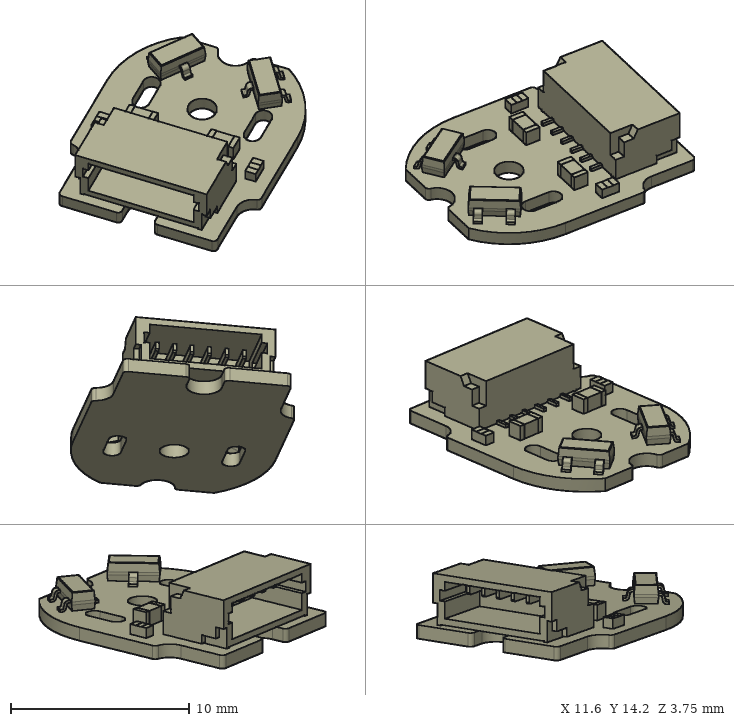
import cadquery as cq
import math

BOARD_RADIUS = 5.8
BOARD_TOP_Y = 4.8
BOARD_BOTTOM_Y = -9.4
BOARD_THICKNESS = 0.8
TAIL_HALF_WIDTH = 4.8
CORNER_RADIUS = 0.25
SHOULDER_CENTER_Y = -6.4
SHOULDER_RADIUS = BOARD_RADIUS - TAIL_HALF_WIDTH
NOTCH_RADIUS = 1.0
TAIL_NOTCH_CENTER_Y = -8.4
CENTER_HOLE_DIAMETER = 1.65
SIDE_SLOT_X = 3.4
SIDE_SLOT_LENGTH = 2.55
SIDE_SLOT_WIDTH = 1.0

HOUSING_HALF_WIDTH = 4.0
HOUSING_FRONT_Y = -8.82
HOUSING_BACK_Y = -4.54
HOUSING_BOTTOM_Z = 0.85
HOUSING_TOP_Z = 3.75
CAVITY_HALF_WIDTH = 3.2
CAVITY_BOTTOM_Z = 1.23
CAVITY_TOP_Z = 3.36
CAVITY_BACK_Y = -5.3
KEYWAY_BACK_Y = -6.2
KEYWAY_HALF_WIDTH = 3.53
KEYWAY_BOTTOM_Z = 2.22
KEYWAY_TOP_Z = 2.84
BACK_RELIEF_DEPTH = 0.55
BACK_RELIEF_PROFILE = [
    (HOUSING_BACK_Y, 2.22),
    (-5.1, 2.22),
    (-5.1, 3.22),
    (-5.74, 3.22),
    (-6.02, HOUSING_TOP_Z),
    (HOUSING_BACK_Y, HOUSING_TOP_Z),
]
FRONT_RELIEF_DEPTH = 0.3
FRONT_RELIEF_PROFILE = [
    (HOUSING_FRONT_Y, HOUSING_BOTTOM_Z),
    (-7.29, HOUSING_BOTTOM_Z),
    (-7.29, 1.37),
    (-8.28, 1.37),
    (-8.28, 2.04),
    (HOUSING_FRONT_Y, 2.04),
]
FOOT_INNER_X = 3.47

CONTACT_COUNT = 6
CONTACT_PITCH = 1.0
CONTACT_WIDTH = 0.2
PIN_TOP_Z = 2.95
PIN_BOTTOM_Z = 2.45
PIN_TIP_Y = -7.5
PIN_TIP_BEVEL = 0.1
TAIL_END_Y = -3.84
TAIL_HEIGHT = 0.2

TERMINAL_STEP = 0.01
LARGE_CHIP_SIZE = (1.73, 0.9, 0.9)
LARGE_CHIP_TERMINAL = 0.32
LARGE_CHIP_CENTERS = [(-2.67, -2.53), (2.3, -2.53)]
SMALL_CHIP_SIZE = (1.14, 0.64, 0.6)
SMALL_CHIP_TERMINAL = 0.38
SMALL_CHIP_CENTERS = [(-4.68, -3.555), (4.68, -3.555)]

SENSOR_CENTER = (-2.68, 2.67)
SENSOR_ANGLE = 55.0
SENSOR_LENGTH = 2.96
SENSOR_WIDTH = 1.38
SENSOR_BOTTOM_Z = 0.9
SENSOR_BAND_BOTTOM_Z = 1.28
SENSOR_BAND_TOP_Z = 1.46
SENSOR_TOP_Z = 2.0
SENSOR_BOTTOM_INSET = 0.04
SENSOR_TOP_INSET = 0.06
SENSOR_TOP_BEVEL = 0.04
LEAD_WIDTH = 0.5
LEAD_OFFSET = 0.92
LEAD_TIP = 1.28
LEAD_BEND_START = 0.78
LEAD_TILT = math.radians(12)
LEAD_TOP_Z = 1.45
LEAD_THICKNESS = 0.15
LEAD_INNER_RADIUS = 0.1
LEAD_OUTER_RADIUS = LEAD_INNER_RADIUS + LEAD_THICKNESS


def box(x_range, y_range, z_range):
    """Axis-aligned box between pairs of limits."""
    size = [high - low for low, high in (x_range, y_range, z_range)]
    corner = (x_range[0], y_range[0], z_range[0])
    return cq.Workplane("XY").box(*size, centered=False).translate(corner)


def mirrored_pair(shape):
    """A shape joined with its mirror image across the YZ plane."""
    return shape.union(shape.mirror("YZ"))


def prism(profile, x_start, depth):
    """A (Y, Z) profile extruded along +X from x_start."""
    return cq.Workplane("YZ").workplane(offset=x_start).polyline(profile).close().extrude(depth)


def make_board():
    flat_half_width = math.sqrt(BOARD_RADIUS**2 - BOARD_TOP_Y**2)
    arc_middle = math.atan2(BOARD_TOP_Y, flat_half_width) / 2
    arc_x = BOARD_RADIUS * math.cos(arc_middle)
    arc_y = BOARD_RADIUS * math.sin(arc_middle)
    shoulder_y = SHOULDER_CENTER_Y + SHOULDER_RADIUS
    shoulder_diagonal = SHOULDER_RADIUS * math.sqrt(0.5)
    shoulder_x = BOARD_RADIUS - shoulder_diagonal
    shoulder_middle_y = SHOULDER_CENTER_Y + shoulder_diagonal
    notch_end_y = TAIL_NOTCH_CENTER_Y + NOTCH_RADIUS

    board = (
        cq.Workplane("XY")
        .moveTo(NOTCH_RADIUS, BOARD_TOP_Y)
        .lineTo(flat_half_width, BOARD_TOP_Y)
        .threePointArc((arc_x, arc_y), (BOARD_RADIUS, 0))
        .lineTo(BOARD_RADIUS, shoulder_y)
        .threePointArc((shoulder_x, shoulder_middle_y), (TAIL_HALF_WIDTH, SHOULDER_CENTER_Y))
        .lineTo(TAIL_HALF_WIDTH, BOARD_BOTTOM_Y)
        .lineTo(NOTCH_RADIUS, BOARD_BOTTOM_Y)
        .lineTo(NOTCH_RADIUS, TAIL_NOTCH_CENTER_Y)
        .threePointArc((0, notch_end_y), (-NOTCH_RADIUS, TAIL_NOTCH_CENTER_Y))
        .lineTo(-NOTCH_RADIUS, BOARD_BOTTOM_Y)
        .lineTo(-TAIL_HALF_WIDTH, BOARD_BOTTOM_Y)
        .lineTo(-TAIL_HALF_WIDTH, SHOULDER_CENTER_Y)
        .threePointArc((-shoulder_x, shoulder_middle_y), (-BOARD_RADIUS, shoulder_y))
        .lineTo(-BOARD_RADIUS, 0)
        .threePointArc((-arc_x, arc_y), (-flat_half_width, BOARD_TOP_Y))
        .lineTo(-NOTCH_RADIUS, BOARD_TOP_Y)
        .threePointArc((0, BOARD_TOP_Y - NOTCH_RADIUS), (NOTCH_RADIUS, BOARD_TOP_Y))
        .close()
        .extrude(BOARD_THICKNESS)
    )
    rounded_corners = [
        (NOTCH_RADIUS, BOARD_TOP_Y),
        (BOARD_RADIUS, shoulder_y),
        (TAIL_HALF_WIDTH, BOARD_BOTTOM_Y),
        (NOTCH_RADIUS, BOARD_BOTTOM_Y),
    ]
    for x, y in rounded_corners:
        for side in (-1, 1):
            corner = (side * x, y, BOARD_THICKNESS / 2)
            board = board.edges(cq.selectors.NearestToPointSelector(corner)).fillet(CORNER_RADIUS)

    hole = cq.Workplane("XY").circle(CENTER_HOLE_DIAMETER / 2).extrude(BOARD_THICKNESS)
    slots = (
        cq.Workplane("XY")
        .pushPoints([(-SIDE_SLOT_X, 0), (SIDE_SLOT_X, 0)])
        .slot2D(SIDE_SLOT_LENGTH, SIDE_SLOT_WIDTH, 90)
        .extrude(BOARD_THICKNESS)
    )
    return board.cut(hole).cut(slots)


def make_housing():
    housing = box(
        (-HOUSING_HALF_WIDTH, HOUSING_HALF_WIDTH),
        (HOUSING_FRONT_Y, HOUSING_BACK_Y),
        (HOUSING_BOTTOM_Z, HOUSING_TOP_Z),
    )
    cavity = box(
        (-CAVITY_HALF_WIDTH, CAVITY_HALF_WIDTH),
        (HOUSING_FRONT_Y, CAVITY_BACK_Y),
        (CAVITY_BOTTOM_Z, CAVITY_TOP_Z),
    )
    keyways = box(
        (-KEYWAY_HALF_WIDTH, KEYWAY_HALF_WIDTH),
        (HOUSING_FRONT_Y, KEYWAY_BACK_Y),
        (KEYWAY_BOTTOM_Z, KEYWAY_TOP_Z),
    )
    back_relief = prism(BACK_RELIEF_PROFILE, -HOUSING_HALF_WIDTH, BACK_RELIEF_DEPTH)
    front_relief = prism(FRONT_RELIEF_PROFILE, -HOUSING_HALF_WIDTH, FRONT_RELIEF_DEPTH)
    reliefs = mirrored_pair(back_relief.union(front_relief))

    foot = box(
        (-HOUSING_HALF_WIDTH + FRONT_RELIEF_DEPTH, -FOOT_INNER_X),
        (HOUSING_FRONT_Y, HOUSING_BACK_Y),
        (BOARD_THICKNESS, HOUSING_BOTTOM_Z),
    )
    return housing.cut(cavity).cut(keyways).cut(reliefs).union(mirrored_pair(foot))


def make_contact(x):
    """A pin inside the cavity and its solder tail behind the housing."""
    pin_profile = [
        (CAVITY_BACK_Y, PIN_BOTTOM_Z),
        (CAVITY_BACK_Y, PIN_TOP_Z),
        (PIN_TIP_Y, PIN_TOP_Z),
        (PIN_TIP_Y, PIN_BOTTOM_Z + PIN_TIP_BEVEL),
        (PIN_TIP_Y + PIN_TIP_BEVEL, PIN_BOTTOM_Z),
    ]
    x_start = x - CONTACT_WIDTH / 2
    pin = prism(pin_profile, x_start, CONTACT_WIDTH)
    tail = box(
        (x_start, x_start + CONTACT_WIDTH),
        (CAVITY_BACK_Y, TAIL_END_Y),
        (BOARD_THICKNESS, BOARD_THICKNESS + TAIL_HEIGHT),
    )
    return pin.union(tail)


def make_chip(size, terminal, side_step, center, angle):
    """A chip whose end terminals stand slightly above its body, and proud of its sides by side_step."""
    length, width, height = size
    body = cq.Workplane("XY").box(
        length - 2 * terminal,
        width - 2 * side_step,
        height - TERMINAL_STEP,
        centered=(True, True, False),
    )
    end = cq.Workplane("XY").box(terminal, width, height, centered=(True, True, False))
    end_x = (length - terminal) / 2
    chip = body.union(end.translate((end_x, 0, 0))).union(end.translate((-end_x, 0, 0)))
    return chip.rotate((0, 0, 0), (0, 0, 1), angle).translate((*center, BOARD_THICKNESS))


def make_sensor_lead():
    """A gull-wing lead reaching out along +Y, its leg leaning outward by the tilt angle."""
    upper_z = LEAD_TOP_Z - LEAD_OUTER_RADIUS
    lower_z = BOARD_THICKNESS + LEAD_OUTER_RADIUS
    bend_sum = LEAD_OUTER_RADIUS + LEAD_INNER_RADIUS
    leg_length = (bend_sum * math.sin(LEAD_TILT) + upper_z - lower_z) / math.cos(LEAD_TILT)
    bend_spread = bend_sum * math.cos(LEAD_TILT) + leg_length * math.sin(LEAD_TILT)
    foot_start = LEAD_BEND_START + bend_spread
    bend_middle = (math.pi / 2 + LEAD_TILT) / 2

    def upper_bend(radius, angle):
        return (LEAD_BEND_START + radius * math.cos(angle), upper_z + radius * math.sin(angle))

    def lower_bend(radius, angle):
        return (foot_start - radius * math.cos(angle), lower_z - radius * math.sin(angle))

    return (
        cq.Workplane("YZ")
        .workplane(offset=-LEAD_WIDTH / 2)
        .moveTo(0, LEAD_TOP_Z)
        .lineTo(LEAD_BEND_START, LEAD_TOP_Z)
        .threePointArc(upper_bend(LEAD_OUTER_RADIUS, bend_middle), upper_bend(LEAD_OUTER_RADIUS, LEAD_TILT))
        .lineTo(*lower_bend(LEAD_INNER_RADIUS, LEAD_TILT))
        .threePointArc(
            lower_bend(LEAD_INNER_RADIUS, bend_middle),
            (foot_start, BOARD_THICKNESS + LEAD_THICKNESS),
        )
        .lineTo(LEAD_TIP, BOARD_THICKNESS + LEAD_THICKNESS)
        .lineTo(LEAD_TIP, BOARD_THICKNESS)
        .lineTo(foot_start, BOARD_THICKNESS)
        .threePointArc(lower_bend(LEAD_OUTER_RADIUS, bend_middle), lower_bend(LEAD_OUTER_RADIUS, LEAD_TILT))
        .lineTo(*upper_bend(LEAD_INNER_RADIUS, LEAD_TILT))
        .threePointArc(
            upper_bend(LEAD_INNER_RADIUS, bend_middle),
            (LEAD_BEND_START, LEAD_TOP_Z - LEAD_THICKNESS),
        )
        .lineTo(0, LEAD_TOP_Z - LEAD_THICKNESS)
        .close()
        .extrude(LEAD_WIDTH)
    )


def make_sensor():
    def taper(z_wide, z_narrow, inset):
        return (
            cq.Workplane("XY", origin=(0, 0, z_wide))
            .rect(SENSOR_LENGTH, SENSOR_WIDTH)
            .workplane(offset=z_narrow - z_wide)
            .rect(SENSOR_LENGTH - 2 * inset, SENSOR_WIDTH - 2 * inset)
            .loft(ruled=True)
        )

    band = (
        cq.Workplane("XY", origin=(0, 0, SENSOR_BAND_BOTTOM_Z))
        .rect(SENSOR_LENGTH, SENSOR_WIDTH)
        .extrude(SENSOR_BAND_TOP_Z - SENSOR_BAND_BOTTOM_Z)
    )
    lower = taper(SENSOR_BAND_BOTTOM_Z, SENSOR_BOTTOM_Z, SENSOR_BOTTOM_INSET)
    upper = taper(SENSOR_BAND_TOP_Z, SENSOR_TOP_Z, SENSOR_TOP_INSET)
    upper = upper.faces(">Z").edges().chamfer(SENSOR_TOP_BEVEL)
    sensor = band.union(lower).union(upper)

    lead = make_sensor_lead()
    for x in (-LEAD_OFFSET, LEAD_OFFSET):
        sensor = sensor.union(lead.translate((x, 0, 0)))
    sensor = sensor.union(lead.rotate((0, 0, 0), (0, 0, 1), 180))
    return sensor.rotate((0, 0, 0), (0, 0, 1), SENSOR_ANGLE).translate((*SENSOR_CENTER, 0))


assembly = make_board().union(make_housing())
for index in range(CONTACT_COUNT):
    contact_x = (index - (CONTACT_COUNT - 1) / 2) * CONTACT_PITCH
    assembly = assembly.union(make_contact(contact_x))
for chip_center in LARGE_CHIP_CENTERS:
    assembly = assembly.union(make_chip(LARGE_CHIP_SIZE, LARGE_CHIP_TERMINAL, TERMINAL_STEP, chip_center, 0))
for chip_center in SMALL_CHIP_CENTERS:
    assembly = assembly.union(make_chip(SMALL_CHIP_SIZE, SMALL_CHIP_TERMINAL, 0, chip_center, 90))

result = assembly.union(mirrored_pair(make_sensor()))